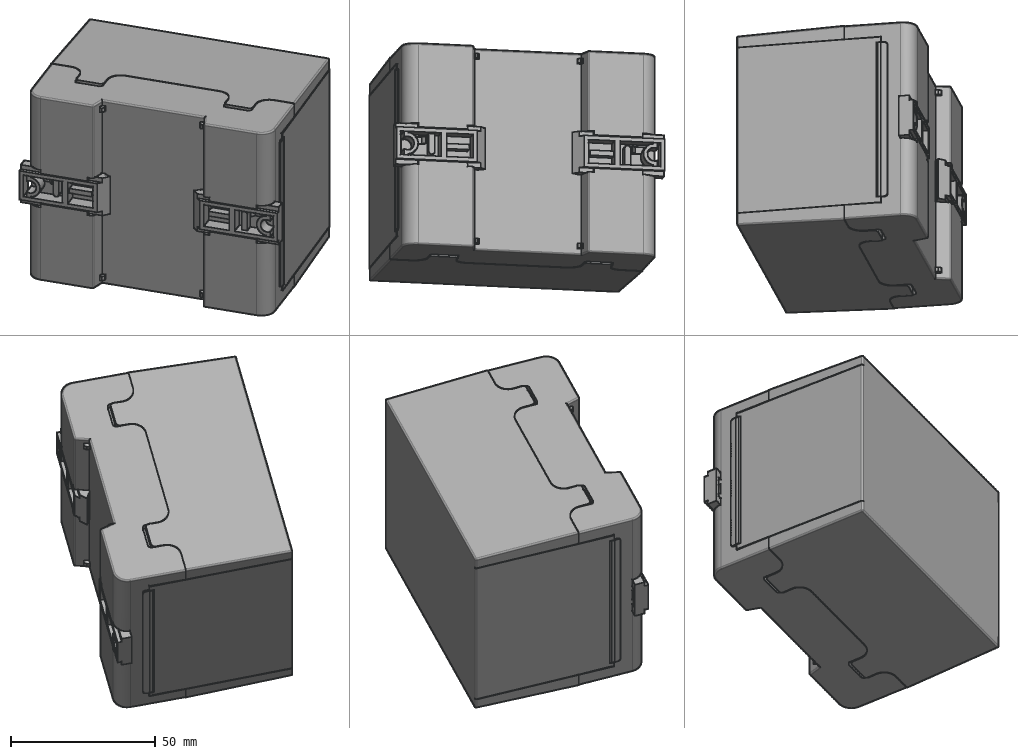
import cadquery as cq
import math


case_depth = 63.0
case_height = 72.5
tab_half_height = case_height / 2
seam_y = 24.9
tab_tip_y = 15.6
side_draft = 1.0
top_draft = 1.5
base_half_width = 44.8
base_half_height = 35.8
seam_half_height = tab_half_height - (seam_y - tab_tip_y) * math.tan(math.radians(top_draft))
edge_radius = 0.6

channel_depth = 5.0
channel_half_width = 18.8
channel_mouth_half_width = 20.3
corner_radius = channel_depth

tab_x = 27.4
tab_half_width = 5.1
tab_root_radius = 4.9
tab_tip_radius = 1.3
tab_thickness = 1.9
tab_gap = 1.1

panel_end_y = 11.8
panel_half_height = 30.7
panel_rise = 0.2
panel_thickness = 1.4

ridge_half_height = 28.6
ridge_back_y = 14.0
ridge_crest_y = 12.9
ridge_front_y = 9.5
ridge_crest_x = 45.5
ridge_front_x = 45.3
ridge_corner_radius = 1.1

clip_end_x = 47.5
clip_thickness = channel_depth
flange_y = 1.4
flange_half_height = 7.3
web_half_height = 5.6
hook_front_x = 18.9
hook_tip_y = 3.5
hook_tip_x = hook_front_x - hook_tip_y
hook_back_x = 17.6
hook_back_y = 4.6
window_half_height = 4.2
outer_window = (31.7, 46.1)
inner_window = (20.4, 29.7)
finger_x = (33.6, 35.7)
finger_length = 7.3
finger_front_y = 1.9
finger_tip_radius = 0.95
rib_half_height = 0.9
rib_length = 8.3
rib_front_y = 1.9

slot_clearance = 0.33
slot_outer_opening_x = 39.7
slot_inner_opening_x = 22.4

boss_x = 43.7
boss_shoulder_x = 43.3
boss_outer_radius = 3.8
boss_bore_radius = 2.4
latch_x = (36.7, 41.5)
latch_z = (0.9, 3.3)
latch_slope_x = 37.8
latch_low_y = 4.3
latch_high_y = 2.85

nub_z = 32.9
nub_length = 1.6
nub_tip_x = (18.2, 18.9)
nub_tip_y = 3.0
nub_inner_x = 17.5
nub_outer_x = 19.5
nub_bevel = 0.9


def box(x_range, y_range, z_range):
    size = [high - low for low, high in (x_range, y_range, z_range)]
    return cq.Workplane("XY").box(*size, centered=False).translate((x_range[0], y_range[0], z_range[0]))


def prism(outline, half_height, z=0):
    """Closed XY outline extruded symmetrically about the height z."""
    return outline.extrude(half_height, both=True).translate((0, 0, z))


def polygon(points):
    return cq.Workplane("XY").polyline(points).close()


def both_sides(solid):
    """The solid with its mirror image on the other X side."""
    return solid.union(solid.mirror("YZ"))


def drafted_block(half_width, front_y):
    """Block tapering toward the back; half_width is measured at the seam."""
    def half_at(y, half_at_seam, draft):
        return half_at_seam - (y - seam_y) * math.tan(math.radians(draft))

    front_x = half_at(front_y, half_width, side_draft)
    back_x = half_at(case_depth, half_width, side_draft)
    front_z = half_at(front_y, seam_half_height, top_draft)
    back_z = half_at(case_depth, seam_half_height, top_draft)
    plan = polygon([(-front_x, front_y), (front_x, front_y), (back_x, case_depth), (-back_x, case_depth)])
    side = (
        cq.Workplane("YZ")
        .polyline([(front_y, -front_z), (front_y, front_z), (case_depth, back_z), (case_depth, -back_z)])
        .close()
        .extrude(front_x, both=True)
    )
    return prism(plan, front_z).intersect(side)


def tab_shape(tip_y):
    """One tab region on the top face, from the flared root at the seam to the rounded tip."""
    root_x = tab_half_width + tab_root_radius
    root_y = seam_y - tab_root_radius
    tip_x = tab_half_width - tab_tip_radius
    tip_arc_y = tip_y + tab_tip_radius
    outline = (
        cq.Workplane("XY")
        .moveTo(-root_x, seam_y)
        .radiusArc((-tab_half_width, root_y), tab_root_radius)
        .lineTo(-tab_half_width, tip_arc_y)
        .radiusArc((-tip_x, tip_y), -tab_tip_radius)
        .lineTo(tip_x, tip_y)
        .radiusArc((tab_half_width, tip_arc_y), -tab_tip_radius)
        .lineTo(tab_half_width, root_y)
        .radiusArc((root_x, seam_y), tab_root_radius)
        .close()
    )
    return prism(outline, tab_thickness, base_half_height)


def tab_regions(tip_y):
    one = tab_shape(tip_y).translate((tab_x, 0, 0))
    pair = both_sides(one)
    return pair.union(pair.mirror("XY"))


def panel_region():
    """Space on both sides that the panels take up, from their ends to the back."""
    inner_x = base_half_width - panel_thickness
    return both_sides(box(
        (inner_x, clip_end_x),
        (panel_end_y, case_depth),
        (-panel_half_height, panel_half_height),
    ))


def grip_ridge():
    """Raised bar along Z on both sides, with two rounded front corners."""
    root_x = base_half_width - panel_thickness / 2
    profile = polygon([
        (root_x, ridge_front_y),
        (ridge_front_x, ridge_front_y),
        (ridge_crest_x, panel_end_y),
        (ridge_crest_x, ridge_crest_y),
        (base_half_width + panel_rise, ridge_back_y),
        (root_x, ridge_back_y),
    ])
    ridge = prism(profile, ridge_half_height)
    rounded = (
        box((root_x, clip_end_x), (ridge_front_y, ridge_back_y), (-ridge_half_height, ridge_half_height))
        .edges("|X and <Y")
        .fillet(ridge_corner_radius)
    )
    return both_sides(ridge.intersect(rounded))


def base_block():
    """Base outline with rail channel, rounded along its edges and cut off at the seam."""
    outline = polygon([
        (-base_half_width, case_depth),
        (-base_half_width, 0),
        (-channel_mouth_half_width, 0),
        (-channel_half_width, channel_depth),
        (channel_half_width, channel_depth),
        (channel_mouth_half_width, 0),
        (base_half_width, 0),
        (base_half_width, case_depth),
    ])
    block = prism(outline, base_half_height)
    for x, radius in ((base_half_width, corner_radius), (channel_mouth_half_width, edge_radius)):
        for side in (-1, 1):
            corner = cq.selectors.NearestToPointSelector((side * x, 0, 0))
            block = block.edges("|Z").edges(corner).fillet(radius)
    block = block.faces("<Z or >Z").edges().fillet(edge_radius)
    below_seam = box((-clip_end_x, clip_end_x), (0, seam_y), (-tab_half_height, tab_half_height))
    return block.intersect(below_seam)


def clip_slot():
    """T-shaped slot for the clip on the +X side."""
    web_half = web_half_height + slot_clearance
    web = box((hook_back_x, clip_end_x), (0, flange_y), (-web_half, web_half))
    wide = (-flange_half_height, flange_half_height)
    flange = box((hook_back_x, clip_end_x), (flange_y, clip_thickness), wide)
    outer_opening = box((slot_outer_opening_x, clip_end_x), (0, flange_y), wide)
    inner_opening = box((hook_back_x, slot_inner_opening_x), (0, flange_y), wide)
    return web.union(flange).union(outer_opening).union(inner_opening)


def stop_boss():
    """Half-round boss with a full-height outer end and a round notch open to the side of the base."""
    head = cq.Workplane("XZ").center(boss_x, 0).circle(boss_outer_radius).extrude(-clip_thickness)
    inside_base = box(
        (0, base_half_width), (0, clip_thickness), (-boss_outer_radius, boss_outer_radius)
    )
    shoulder = box(
        (boss_shoulder_x, base_half_width),
        (0, clip_thickness),
        (-window_half_height, window_half_height),
    )
    bore = cq.Workplane("XZ").center(boss_x, 0).circle(boss_bore_radius).extrude(-clip_thickness)
    return head.intersect(inside_base).union(shoulder).cut(bore)


def latch():
    """Low plate with a ramp at its inner end."""
    inner_x, outer_x = latch_x
    profile = polygon([
        (outer_x, clip_thickness),
        (outer_x, latch_low_y),
        (latch_slope_x, latch_low_y),
        (inner_x, latch_high_y),
        (inner_x, clip_thickness),
    ])
    bottom_z, top_z = latch_z
    return prism(profile, (top_z - bottom_z) / 2, (top_z + bottom_z) / 2)


def nubs():
    """Faceted bumps in the channel corners, near both ends of the channel."""
    tip_inner_x, tip_outer_x = nub_tip_x
    profile = polygon([
        (nub_outer_x, channel_depth),
        (nub_outer_x, nub_tip_y + nub_bevel),
        (tip_outer_x, nub_tip_y),
        (tip_inner_x, nub_tip_y),
        (nub_inner_x, nub_tip_y + nub_bevel),
        (nub_inner_x, channel_depth),
    ])
    upper = prism(profile, nub_length / 2, nub_z)
    return both_sides(upper.union(upper.mirror("XY")))


def make_base():
    in_front_of_panel = box(
        (-clip_end_x, clip_end_x), (0, panel_end_y), (-tab_half_height, tab_half_height)
    )
    return (
        base_block()
        .cut(tab_regions(tab_tip_y - tab_gap))
        .cut(panel_region())
        .union(grip_ridge().intersect(in_front_of_panel))
        .cut(both_sides(clip_slot()))
        .union(both_sides(stop_boss()))
        .union(both_sides(latch()))
        .union(nubs())
    )


def make_cover():
    block = drafted_block(base_half_width, panel_end_y).edges("not <Y").fillet(edge_radius)
    behind_seam = box(
        (-clip_end_x, clip_end_x), (seam_y, case_depth), (-tab_half_height, tab_half_height)
    )
    shell = block.intersect(behind_seam.union(tab_regions(tab_tip_y)))
    panels = (
        drafted_block(base_half_width + panel_rise, panel_end_y)
        .edges(">Y")
        .fillet(edge_radius)
        .union(grip_ridge())
        .intersect(panel_region())
    )
    return shell.union(panels)


def make_clip():
    """Clip on the -X side: flanged bar with two windows, a spring finger, a rib and a rail hook."""
    profile = polygon([
        (-clip_end_x, 0),
        (-hook_front_x, 0),
        (-hook_tip_x, hook_tip_y),
        (-hook_back_x, hook_back_y),
        (-hook_back_x, clip_thickness),
        (-clip_end_x, clip_thickness),
    ])
    along_x = (-clip_end_x, 0)
    flange_space = box(along_x, (flange_y, clip_thickness), (-flange_half_height, flange_half_height))
    web_space = box(along_x, (0, flange_y), (-web_half_height, web_half_height))
    clip = prism(profile, flange_half_height).intersect(flange_space.union(web_space))
    for near_x, far_x in (inner_window, outer_window):
        clip = clip.cut(box(
            (-far_x, -near_x), (0, clip_thickness), (-window_half_height, window_half_height)
        ))

    finger_near_x, finger_far_x = finger_x
    finger = (
        box(
            (-finger_far_x, -finger_near_x),
            (finger_front_y, clip_thickness),
            (window_half_height - finger_length, window_half_height),
        )
        .edges("|Y and <Z")
        .fillet(finger_tip_radius)
    )
    rib_root_x = -inner_window[1]
    rib = box(
        (rib_root_x, rib_root_x + rib_length),
        (rib_front_y, clip_thickness),
        (-rib_half_height, rib_half_height),
    )
    return clip.union(finger).union(rib)


base = make_base()
cover = make_cover()
clips = [make_clip().rotate((0, 0, 0), (0, 1, 0), turn).solids().val() for turn in (0, 180)]

result = cq.Compound.makeCompound([base.solids().val(), cover.solids().val(), *clips])